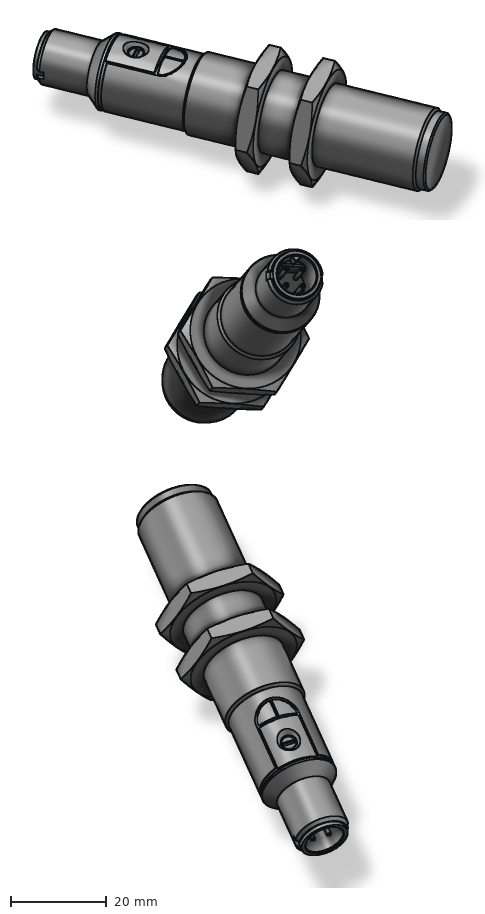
import cadquery as cq
import math

LENGTH = 88.5

RIM_DIAMETER = 10.35
RIM_END = 0.9
SHOULDER_DIAMETER = 10.8
PLUG_DIAMETER = 12.0
PLUG_CHAMFER_END = 1.7
PLUG_END = 12.3

REAR_DIAMETER = 16.7
CONE_END = 15.0
SEAM_START = 15.6
SEAM_END = 16.3
SEAM_DEPTH = 0.2
REAR_END = 34.5

BARREL_DIAMETER = 18.0
BARREL_CHAMFER = 0.5
BARREL_END = 86.5
TIP_DIAMETER = 16.9
TIP_CHAMFER = 0.35

SOCKET_DIAMETER = 8.4
SOCKET_FLOOR_DIAMETER = 7.3
SOCKET_DEPTH = 8.85
SOCKET_LEAD_IN = 0.22
LEDGE_HEIGHT = 2.8
LEDGE_START = 3.5
LEDGE_CHAMFER = 0.4
KEY_START = 0.6
KEY_TIP_HEIGHT = 3.1
PIN_DIAMETER = 1.0
PIN_OFFSET = 1.8
PIN_TIP = 1.9
PIN_TIP_CHAMFER = 0.3

NOTCH_WIDTH = 1.9
NOTCH_END = 2.65

RECESS_FLOOR_HEIGHT = 6.86
RECESS_WIDTH = 9.7
RECESS_END = 32.1
PANEL_START = 15.8
PANEL_END = 26.7
PANEL_WIDTH = 8.85
WINDOW_START = 27.4
WINDOW_DROP = 0.3
WINDOW_GAP = 0.4

SCREW_X = 21.1
SCREW_DIAMETER = 3.1
SCREW_HOLE_DIAMETER = 3.45
SCREW_DISH_DIAMETER = 5.5
SCREW_DISH_FLOOR = 7.35
SCREW_HOLE_FLOOR = 6.0
SCREW_TOP = 7.1
SCREW_SLOT_WIDTH = 0.8
SCREW_SLOT_DEPTH = 0.5

NUT_FLATS = 24.0
NUT_THICKNESS = 4.0
NUT_STARTS = (47.5, 59.6)
NUT_FACE_DIAMETER = 23.8
NUT_CHAMFER_ANGLE = 20.0


def turned(profile):
    """Revolve an (x, radius) outline about the X axis."""
    return cq.Workplane("XY").polyline(profile).close().revolve(360, (0, 0, 0), (1, 0, 0))


def rod(start, end, diameter):
    """Cylinder lying along the X axis."""
    return cq.Workplane("YZ", origin=(start, 0, 0)).circle(diameter / 2).extrude(end - start)


def block(x_range, y_range, z_range):
    """Axis-aligned box from its limits."""
    (x0, x1), (y0, y1), (z0, z1) = x_range, y_range, z_range
    return cq.Workplane("XY").box(x1 - x0, y1 - y0, z1 - z0, centered=False).translate((x0, y0, z0))


def outer_shell():
    """Turned outline of the whole sensor, without its openings."""
    rim = RIM_DIAMETER / 2
    plug = PLUG_DIAMETER / 2
    rear = REAR_DIAMETER / 2
    barrel = BARREL_DIAMETER / 2
    tip = TIP_DIAMETER / 2
    return turned([
        (0, 0),
        (0, rim),
        (RIM_END, rim),
        (RIM_END, SHOULDER_DIAMETER / 2),
        (PLUG_CHAMFER_END, plug),
        (PLUG_END, plug),
        (CONE_END, rear),
        (SEAM_START, rear),
        (SEAM_START, rear - SEAM_DEPTH),
        (SEAM_END, rear - SEAM_DEPTH),
        (SEAM_END, rear),
        (REAR_END, rear),
        (REAR_END + BARREL_CHAMFER, barrel),
        (BARREL_END - BARREL_CHAMFER, barrel),
        (BARREL_END, tip),
        (LENGTH - TIP_CHAMFER, tip),
        (LENGTH, tip - TIP_CHAMFER),
        (LENGTH, 0),
    ])


def socket():
    """Tapered socket, leaving a flat ledge and a V-shaped coding key along its top."""
    mouth = SOCKET_DIAMETER / 2
    cavity = turned([
        (0, 0),
        (0, mouth + SOCKET_LEAD_IN),
        (SOCKET_LEAD_IN, mouth),
        (SOCKET_DEPTH, SOCKET_FLOOR_DIAMETER / 2),
        (SOCKET_DEPTH, 0),
    ])
    ledge = block((LEDGE_START, SOCKET_DEPTH), (-mouth, mouth), (LEDGE_HEIGHT, PLUG_DIAMETER / 2))
    ledge = ledge.faces("<Z").edges("<X").chamfer(LEDGE_CHAMFER)
    key_rise = PLUG_DIAMETER / 2 - KEY_TIP_HEIGHT
    key = (
        cq.Workplane("YZ", origin=(KEY_START, 0, KEY_TIP_HEIGHT))
        .polyline([(0, 0), (key_rise, key_rise), (-key_rise, key_rise)])
        .close()
        .extrude(SOCKET_DEPTH - KEY_START)
    )
    return cavity.cut(ledge).cut(key)


def pins():
    """Four contact pins standing on the socket floor."""
    pin = rod(PIN_TIP, SOCKET_DEPTH, PIN_DIAMETER).faces("<X").chamfer(PIN_TIP_CHAMFER)
    group = cq.Workplane("XY")
    for y in (-PIN_OFFSET, PIN_OFFSET):
        for z in (-PIN_OFFSET, PIN_OFFSET):
            group = group.add(pin.translate((0, y, z)))
    return group


def side_notches():
    """Slot across the plug; filled back to the rim diameter it leaves a notch at each side."""
    half = PLUG_DIAMETER / 2
    return block((0, NOTCH_END), (-half, half), (-NOTCH_WIDTH / 2, NOTCH_WIDTH / 2))


def round_ended(start, inset):
    """Upright prism from start to the round end of the recess, shrunk by inset."""
    half = RECESS_WIDTH / 2 - inset
    arc_centre = RECESS_END - RECESS_WIDTH / 2
    return (
        cq.Workplane("XY", origin=(0, 0, RECESS_FLOOR_HEIGHT))
        .moveTo(start, -half)
        .lineTo(arc_centre, -half)
        .threePointArc((arc_centre + half, 0), (arc_centre, half))
        .lineTo(start, half)
        .close()
        .extrude(BARREL_DIAMETER / 2 - RECESS_FLOOR_HEIGHT)
    )


def control_panel():
    """Raised panel flush with the rear body."""
    half = PANEL_WIDTH / 2
    slab = block((PANEL_START, PANEL_END), (-half, half), (RECESS_FLOOR_HEIGHT, BARREL_DIAMETER / 2))
    return slab.intersect(rod(PANEL_START, PANEL_END, REAR_DIAMETER))


def windows():
    """Pair of indicator windows filling the round end of the recess."""
    gap = (RECESS_WIDTH - PANEL_WIDTH) / 2
    lens = round_ended(PANEL_END, gap)
    lens = lens.intersect(rod(WINDOW_START, RECESS_END, REAR_DIAMETER - 2 * WINDOW_DROP))
    divider = block(
        (WINDOW_START, RECESS_END),
        (-WINDOW_GAP / 2, WINDOW_GAP / 2),
        (RECESS_FLOOR_HEIGHT, REAR_DIAMETER / 2),
    )
    return lens.cut(divider)


def screw_hole():
    """Dished hole around the adjusting screw."""
    surface = REAR_DIAMETER / 2
    hole = SCREW_HOLE_DIAMETER / 2
    dish = SCREW_DISH_DIAMETER / 2
    return (
        cq.Workplane("XZ")
        .polyline([
            (0, SCREW_HOLE_FLOOR),
            (hole, SCREW_HOLE_FLOOR),
            (hole, SCREW_DISH_FLOOR),
            (dish, surface),
            (0, surface),
        ])
        .close()
        .revolve(360, (0, 0, 0), (0, 1, 0))
        .translate((SCREW_X, 0, 0))
    )


def screw_head():
    """Slotted screw head standing in the hole."""
    head = (
        cq.Workplane("XY", origin=(SCREW_X, 0, SCREW_HOLE_FLOOR))
        .circle(SCREW_DIAMETER / 2)
        .extrude(SCREW_TOP - SCREW_HOLE_FLOOR)
    )
    slot = block(
        (SCREW_X - SCREW_SLOT_WIDTH / 2, SCREW_X + SCREW_SLOT_WIDTH / 2),
        (-SCREW_DIAMETER, SCREW_DIAMETER),
        (SCREW_TOP - SCREW_SLOT_DEPTH, SCREW_TOP),
    )
    return head.cut(slot)


def make_housing():
    """Sensor housing with its plug, pins and control panel as one solid."""
    body = outer_shell().cut(side_notches()).union(rod(0, NOTCH_END, RIM_DIAMETER))
    body = body.cut(socket())
    for pin in pins().vals():
        body = body.union(pin)
    body = body.cut(round_ended(SEAM_END, 0))
    body = body.union(control_panel()).union(windows())
    return body.cut(screw_hole()).union(screw_head())


def make_nut(start):
    """Hexagon nut with both faces chamfered, its bore fitting the barrel."""
    corner = NUT_FLATS / math.sqrt(3)
    face = NUT_FACE_DIAMETER / 2
    setback = (corner - face) * math.tan(math.radians(NUT_CHAMFER_ANGLE))
    hexagon = cq.Workplane("YZ").polygon(6, 2 * corner).extrude(NUT_THICKNESS)
    envelope = turned([
        (0, 0),
        (0, face),
        (setback, corner),
        (NUT_THICKNESS - setback, corner),
        (NUT_THICKNESS, face),
        (NUT_THICKNESS, 0),
    ])
    bore = rod(0, NUT_THICKNESS, BARREL_DIAMETER)
    return hexagon.intersect(envelope).cut(bore).translate((start, 0, 0))


housing = make_housing()
nuts = [make_nut(start) for start in NUT_STARTS]

result = cq.Compound.makeCompound([housing.val(), *[nut.val() for nut in nuts]])